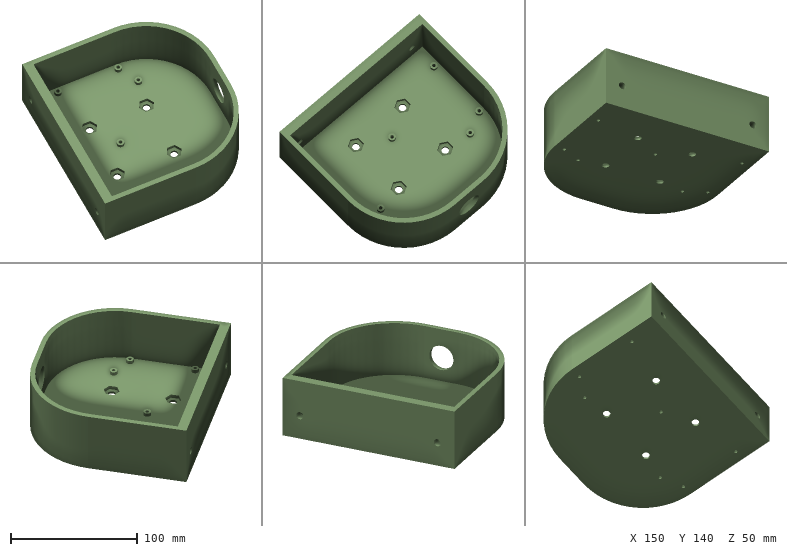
import cadquery as cq
import math

width = 150.0
depth = 140.0
height = width / 3
corner_radius = 60.0
wall = 4.0
front_wall = 8.0
floor = 5.0

post_diameter = 6.0
post_bore = 2.8
post_height = 3.0
side_post_x = 66.0
side_post_rows = (27.0, 80.0)
rear_post_x = 48.0
rear_post_y = 89.0
center_post_y = 50.0

mount_spacing = width / 3
mount_front_y = 35.0
mount_diameter = 6.2
nut_across_flats = 11.2
nut_pocket_depth = 3.0

front_hole_diameter = 6.2
front_hole_x = 60.0
front_hole_z = 20.0
cable_hole_diameter = 21.0
cable_hole_z = height / 2


def rounded_prism(half_width, front_y, rear_y, radius, bottom_z, top_z):
    """Upright block with a flat front and two rounded rear corners."""
    block_width = 2 * half_width
    block_depth = rear_y - front_y
    return (
        cq.Workplane("XY")
        .box(block_width, block_depth, top_z - bottom_z, centered=(True, False, False))
        .translate((0, front_y, bottom_z))
        .edges("|Z and >Y")
        .fillet(radius)
    )


def wall_holes(points, diameter, start_y, length):
    """Cylinders along +Y for cutting holes in a wall; points are (x, z)."""
    plane = cq.Plane(origin=(0, start_y, 0), xDir=(1, 0, 0), normal=(0, -1, 0))
    return cq.Workplane(plane).pushPoints(points).circle(diameter / 2).extrude(-length)


outside = rounded_prism(width / 2, 0, depth, corner_radius, 0, height)
cavity = rounded_prism(width / 2 - wall, front_wall, depth - wall, corner_radius - wall, floor, height)
tray = outside.cut(cavity)

post_points = [(side * side_post_x, y) for side in (-1, 1) for y in side_post_rows]
post_points += [(side * rear_post_x, rear_post_y) for side in (-1, 1)]
post_points.append((0, center_post_y))
posts = cq.Workplane("XY").pushPoints(post_points).circle(post_diameter / 2).extrude(floor + post_height)
bores = cq.Workplane("XY").pushPoints(post_points).circle(post_bore / 2).extrude(floor + post_height)
tray = tray.union(posts).cut(bores)

nut_across_corners = nut_across_flats / math.cos(math.pi / 6)
mount_points = [
    (side * mount_spacing / 2, mount_front_y + row * mount_spacing)
    for side in (-1, 1)
    for row in (0, 1)
]
mount_holes = cq.Workplane("XY").pushPoints(mount_points).circle(mount_diameter / 2).extrude(floor)
tray = tray.cut(mount_holes)
nut_pocket = (
    cq.Workplane("XY")
    .polygon(6, nut_across_corners)
    .extrude(nut_pocket_depth)
    .rotate((0, 0, 0), (0, 0, 1), 90)
)
for x, y in mount_points:
    tray = tray.cut(nut_pocket.translate((x, y, floor - nut_pocket_depth)))

front_points = [(side * front_hole_x, front_hole_z) for side in (-1, 1)]
front_holes = wall_holes(front_points, front_hole_diameter, 0, front_wall)
cable_hole = wall_holes([(0, cable_hole_z)], cable_hole_diameter, depth - wall, wall)

result = tray.cut(front_holes).cut(cable_hole)